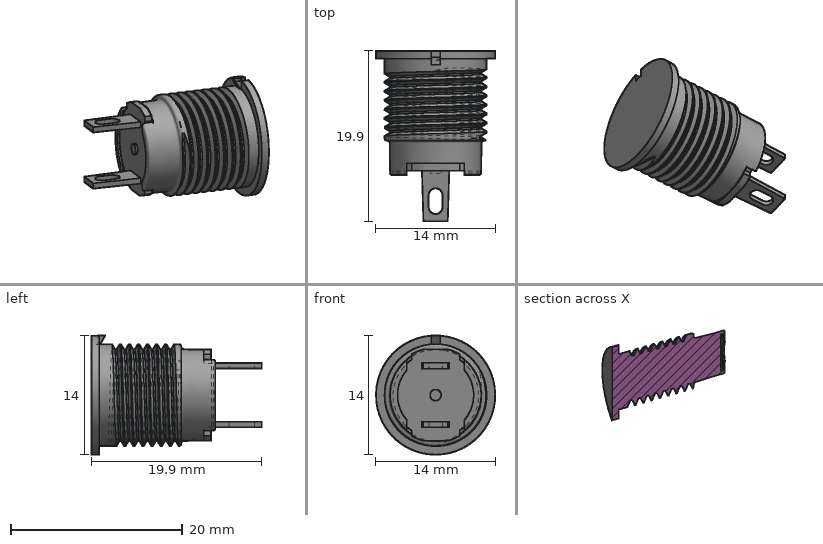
import cadquery as cq
import math


FLANGE_RADIUS = 6.98
FLANGE_THICKNESS = 0.9
FINGER_TOP = 6.97
KEY_WIDTH = 1.06
NOTCH_DEPTH = 0.73
FINGER_TIP = 1.63
FINGER_FOOT = 1.05

BARREL_RADIUS = 5.97
BARREL_END = 10.51
BARREL_END_FILLET = 0.32
NECK_FILLET = 0.24

PITCH = 1.06
ROOT_RADIUS = 5.38
ROOT_WIDTH = 0.22
GROOVE_WIDTH = 0.92
GROOVE_DEPTH_AT_ZERO = 2.59
GROOVE_START_ANGLE = -64
GROOVE_END_ANGLE = 4
GROOVE_FULL_TURNS = 7
GROOVE_OVERSHOOT = 0.2

HOUSING_RADIUS = 5.39
HOUSING_REAR_RADIUS = 5.33
HOUSING_END = 14.5
HOUSING_END_FILLET = 0.25
PLATE_FACE = 14.0
CAVITY_RADIUS = 5.0
LIP_RADIUS = 4.45
LIP_FACE = 14.25
SLOT_HALF_WIDTH = 3.35

SEAT_DEPTH = 13.1
PLATE_RADIUS = 5.53
PLATE_HALF_WIDTH = 2.8
PLATE_HALF_HEIGHT = 5.35

BOSS_RADIUS = 0.65
BOSS_HEIGHT = 0.27

TERMINAL_TIP = 19.91
TERMINAL_OFFSET = 3.44
TERMINAL_THICKNESS = 0.67
TERMINAL_ROOT_WIDTH = 3.22
TERMINAL_TIP_WIDTH = 2.87
EYE_CENTRE = 17.55
EYE_LENGTH = 2.98
EYE_WIDTH = 1.6


def cylinder(radius, start, end):
    return cq.Workplane("XY").workplane(offset=start).circle(radius).extrude(end - start)


def block(width, height, start, end):
    return cq.Workplane("XY").workplane(offset=start).rect(width, height).extrude(end - start)


def turned_body():
    """Flange, barrel and housing as one turned solid with its edge fillets."""
    profile = (
        cq.Workplane("XZ")
        .moveTo(0, 0)
        .lineTo(FLANGE_RADIUS, 0)
        .lineTo(FLANGE_RADIUS, FLANGE_THICKNESS)
        .lineTo(BARREL_RADIUS, FLANGE_THICKNESS)
        .lineTo(BARREL_RADIUS, BARREL_END - BARREL_END_FILLET)
        .radiusArc((BARREL_RADIUS - BARREL_END_FILLET, BARREL_END), -BARREL_END_FILLET)
        .lineTo(HOUSING_RADIUS + NECK_FILLET, BARREL_END)
        .radiusArc((HOUSING_RADIUS, BARREL_END + NECK_FILLET), NECK_FILLET)
        .lineTo(HOUSING_REAR_RADIUS, HOUSING_END - HOUSING_END_FILLET)
        .radiusArc((HOUSING_REAR_RADIUS - HOUSING_END_FILLET, HOUSING_END), -HOUSING_END_FILLET)
        .lineTo(0, HOUSING_END)
        .close()
    )
    return profile.revolve(360, (0, 0, 0), (0, 1, 0))


def cut_thread(blank):
    """Cut a trapezoidal helical groove that fades out tangentially at both ends."""
    flank_slope = (GROOVE_WIDTH - ROOT_WIDTH) / 2 / (BARREL_RADIUS - ROOT_RADIUS)
    mouth_radius = BARREL_RADIUS + GROOVE_OVERSHOOT
    half_root = ROOT_WIDTH / 2
    half_mouth = GROOVE_WIDTH / 2 + flank_slope * GROOVE_OVERSHOOT
    profile = (
        cq.Workplane("XZ")
        .moveTo(ROOT_RADIUS, -half_root)
        .lineTo(mouth_radius, -half_mouth)
        .lineTo(mouth_radius, half_mouth)
        .lineTo(ROOT_RADIUS, half_root)
        .close()
    )
    sweep_angle = GROOVE_END_ANGLE - GROOVE_START_ANGLE + 360 * GROOVE_FULL_TURNS
    length = PITCH * sweep_angle / 360
    helix = cq.Wire.makeHelix(PITCH, length, ROOT_RADIUS)

    run = math.sqrt(mouth_radius**2 - ROOT_RADIUS**2)
    rise = run * PITCH / (2 * math.pi * ROOT_RADIUS)
    section = profile.wires().val()
    lead_in = cq.Solid.extrudeLinear(section, [], cq.Vector(0, -run, -rise))
    lead_out = cq.Solid.extrudeLinear(section, [], cq.Vector(0, run, rise))
    lead_out = lead_out.rotate(cq.Vector(0, 0, 0), cq.Vector(0, 0, 1), sweep_angle)
    lead_out = lead_out.translate(cq.Vector(0, 0, length))

    helical = profile.sweep(cq.Workplane(obj=helix), isFrenet=True)
    start_depth = GROOVE_DEPTH_AT_ZERO + PITCH * GROOVE_START_ANGLE / 360
    for cutter in (helical, cq.Workplane(obj=lead_in), cq.Workplane(obj=lead_out)):
        turned = cutter.rotate((0, 0, 0), (0, 0, 1), GROOVE_START_ANGLE)
        blank = blank.cut(turned.translate((0, 0, start_depth)))
    return blank


def key_notch():
    """Notch through the flange rim, down to the barrel surface."""
    cut_height = 2 * (FLANGE_RADIUS - BARREL_RADIUS)
    cutter = block(KEY_WIDTH, cut_height, 0, FLANGE_THICKNESS)
    return cutter.translate((0, BARREL_RADIUS + cut_height / 2, 0))


def snap_finger():
    """Flat-topped finger in the notch, with a sloping rear face."""
    foot = math.sqrt(BARREL_RADIUS**2 - (KEY_WIDTH / 2) ** 2)
    return (
        cq.Workplane("YZ")
        .moveTo(foot, NOTCH_DEPTH)
        .lineTo(FINGER_TOP, NOTCH_DEPTH)
        .lineTo(FINGER_TOP, FINGER_TIP)
        .lineTo(foot, FINGER_FOOT)
        .close()
        .extrude(KEY_WIDTH / 2, both=True)
    )


def rear_recess():
    """Lipped round cavity and cross slot over the plate, and seats for the plate ends."""
    slot_width = 2 * SLOT_HALF_WIDTH
    slot_height = 2 * BARREL_RADIUS
    lip_bore = cylinder(LIP_RADIUS, LIP_FACE, HOUSING_END)
    cavity = cylinder(CAVITY_RADIUS, PLATE_FACE, LIP_FACE)
    slot = block(slot_width, slot_height, PLATE_FACE, HOUSING_END)
    seats = block(slot_width, slot_height, SEAT_DEPTH, PLATE_FACE).cut(
        cylinder(CAVITY_RADIUS, SEAT_DEPTH, PLATE_FACE)
    )
    return lip_bore.union(cavity).union(slot).union(seats)


def terminal_plate():
    plate = cylinder(PLATE_RADIUS, SEAT_DEPTH, PLATE_FACE)
    outline = block(2 * PLATE_HALF_WIDTH, 2 * PLATE_HALF_HEIGHT, SEAT_DEPTH, PLATE_FACE)
    return plate.intersect(outline)


def terminal(height):
    """Tapered flat tab with a slotted eye, centred at the given height."""
    half_root = TERMINAL_ROOT_WIDTH / 2
    half_tip = TERMINAL_TIP_WIDTH / 2
    tab = (
        cq.Workplane("XZ")
        .polyline([
            (-half_root, PLATE_FACE),
            (half_root, PLATE_FACE),
            (half_tip, TERMINAL_TIP),
            (-half_tip, TERMINAL_TIP),
        ])
        .close()
        .extrude(TERMINAL_THICKNESS / 2, both=True)
    )
    eye = (
        cq.Workplane("XZ")
        .center(0, EYE_CENTRE)
        .slot2D(EYE_LENGTH, EYE_WIDTH, 90)
        .extrude(TERMINAL_THICKNESS, both=True)
    )
    return tab.cut(eye).translate((0, height, 0))


body = cut_thread(turned_body()).cut(key_notch()).union(snap_finger())
body = body.cut(rear_recess()).union(terminal_plate())
body = body.union(cylinder(BOSS_RADIUS, PLATE_FACE, PLATE_FACE + BOSS_HEIGHT))
for side in (1, -1):
    body = body.union(terminal(side * TERMINAL_OFFSET))

result = body.rotate((0, 0, 0), (1, 0, 0), 90)